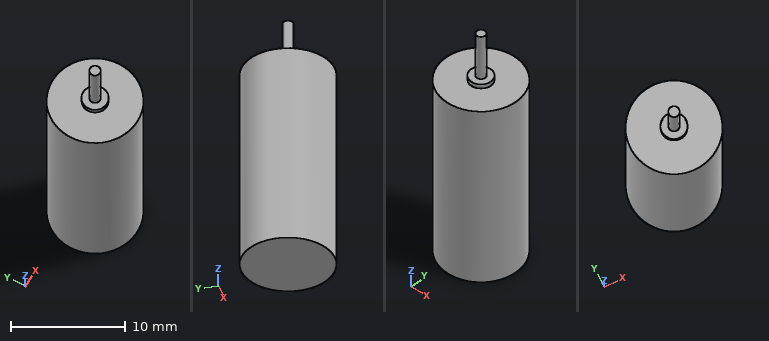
import cadquery as cq

total_height = 25.4
body_diameter = 8.5
collar_diameter = 2.4
collar_height = 0.48
pin_diameter = 1.0
pin_height = 4.93

body_height = total_height - pin_height - collar_height

body = cq.Workplane("XY").circle(body_diameter / 2).extrude(body_height)

collar = body.faces(">Z").workplane().circle(collar_diameter / 2).extrude(collar_height)

result = collar.faces(">Z").workplane().circle(pin_diameter / 2).extrude(pin_height)